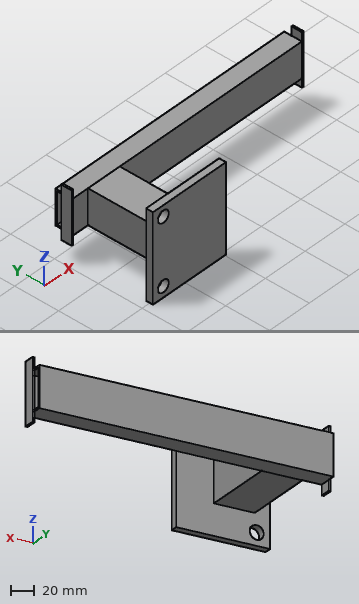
import cadquery as cq

arm_length = 292.0

end_plate_thickness = 2.0
end_plate_depth = 12.0
end_plate_height = 60.0

tube_length = arm_length - 2 * end_plate_thickness
tube_depth = 20.1
tube_height = 40.0
tube_wall = 2.01

post_width = 40.0
post_length = 80.0
post_height = tube_height
post_inset = 15.2

base_width = 92.0
base_thickness = 8.0
base_height = 100.0
base_left = 5.5
hole_diameter = 13.5
hole_inset = 13.0
hole_spacing = 75.0

post_front = base_thickness
tube_front = post_front + post_length


def block(left, front, width, depth, height):
    """A box placed by its left and front faces, centred on Z = 0."""
    corner = (left, front, -height / 2)
    return cq.Workplane("XY").box(width, depth, height, centered=False).translate(corner)


def make_base_plate():
    plate = block(base_left, 0, base_width, base_thickness, base_height)
    hole_x = base_left + hole_inset
    holes = (
        cq.Workplane("XZ")
        .pushPoints([(hole_x, -hole_spacing / 2), (hole_x, hole_spacing / 2)])
        .circle(hole_diameter / 2)
        .extrude(-base_thickness)
    )
    return plate.cut(holes)


def make_post():
    return block(base_left + post_inset, post_front, post_width, post_length, post_height)


def make_tube():
    outside = block(end_plate_thickness, tube_front, tube_length, tube_depth, tube_height)
    bore = block(
        end_plate_thickness,
        tube_front + tube_wall,
        tube_length,
        tube_depth - 2 * tube_wall,
        tube_height - 2 * tube_wall,
    )
    return outside.cut(bore)


def make_end_plate(left):
    return block(left, tube_front, end_plate_thickness, end_plate_depth, end_plate_height)


base_plate = make_base_plate()
post = make_post()
tube = make_tube()
end_plates = []
for plate_left in (0, arm_length - end_plate_thickness):
    end_plates.append(make_end_plate(plate_left).val())

result = cq.Compound.makeCompound([base_plate.val(), post.val(), tube.val(), *end_plates])